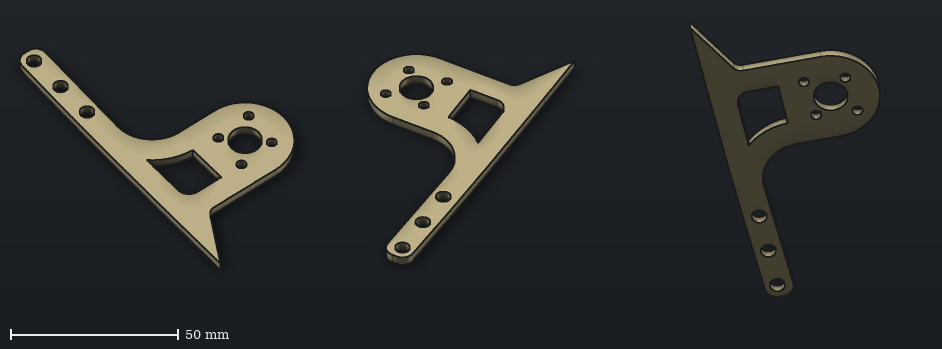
import cadquery as cq
import math

length = 100.8
height = 50.5
thickness = 3.1

head_radius = 14.7
head_x = 67.6
head_y = height - head_radius
left_wall_x = head_x - head_radius
right_wall_x = head_x + head_radius
bore_diameter = 10.1
screw_diameter = 3.0
screw_circles = ((19.0, 135.0), (16.0, 45.0))

arm_end_top = 10.7
arm_root_top = 9.0
arm_end_bottom = 1.9
arm_corner_radius = 3.6
arm_blend_radius = 12.8
arm_hole_diameter = 4.4
arm_hole_x = 4.2
arm_hole_y = 5.7
arm_hole_spacing = 12.7
arm_hole_count = 3

belly_mid = (36.3, 0.7)
belly_end = (69.5, 0.2)
tail_bend = (82.0, 0.1)

tail_top = 10.4
tail_blend_radius = 3.0

window_top = 21.2
window_bottom = 8.1
window_right = 74.5
window_corner_radius = 4.0
blend_web = 8.1


def arm_blend_center():
    """Center of the arc tangent to the arm's upper edge and the left wall."""
    slope = (arm_root_top - arm_end_top) / left_wall_x
    x = left_wall_x - arm_blend_radius
    y = arm_end_top + slope * x + arm_blend_radius * math.hypot(1, slope)
    return x, y


def fillet_corner(body, x, y, radius):
    """Round the upright edge nearest to the given corner."""
    corner = cq.selectors.NearestToPointSelector((x, y, thickness / 2))
    return body.edges("|Z").edges(corner).fillet(radius)


def make_plate():
    plate = (
        cq.Workplane("XY")
        .moveTo(0, arm_end_bottom)
        .threePointArc(belly_mid, belly_end)
        .lineTo(*tail_bend)
        .lineTo(length, 0)
        .lineTo(right_wall_x, tail_top)
        .lineTo(right_wall_x, head_y)
        .threePointArc((head_x, height), (left_wall_x, head_y))
        .lineTo(left_wall_x, arm_root_top)
        .lineTo(0, arm_end_top)
        .close()
        .extrude(thickness)
    )
    plate = fillet_corner(plate, left_wall_x, arm_root_top, arm_blend_radius)
    plate = fillet_corner(plate, right_wall_x, tail_top, tail_blend_radius)
    plate = fillet_corner(plate, 0, arm_end_top, arm_corner_radius)
    return fillet_corner(plate, 0, arm_end_bottom, arm_corner_radius)


def make_window():
    center_x, center_y = arm_blend_center()
    radius = arm_blend_radius + blend_web

    def curved_side(y):
        return center_x + math.sqrt(radius**2 - (y - center_y) ** 2), y

    window_mid = (window_top + window_bottom) / 2
    window = (
        cq.Workplane("XY")
        .moveTo(*curved_side(window_bottom))
        .lineTo(window_right, window_bottom)
        .lineTo(window_right, window_top)
        .lineTo(*curved_side(window_top))
        .threePointArc(curved_side(window_mid), curved_side(window_bottom))
        .close()
        .extrude(thickness)
    )
    return fillet_corner(window, window_right, window_bottom, window_corner_radius)


def make_holes(points, diameter):
    return cq.Workplane("XY").pushPoints(points).circle(diameter / 2).extrude(thickness)


result = make_plate().cut(make_window())

result = result.cut(make_holes([(head_x, head_y)], bore_diameter))
for circle_diameter, pair_angle in screw_circles:
    offset_x = circle_diameter / 2 * math.cos(math.radians(pair_angle))
    offset_y = circle_diameter / 2 * math.sin(math.radians(pair_angle))
    screw_points = [(head_x + side * offset_x, head_y + side * offset_y) for side in (-1, 1)]
    result = result.cut(make_holes(screw_points, screw_diameter))

arm_points = [(arm_hole_x + i * arm_hole_spacing, arm_hole_y) for i in range(arm_hole_count)]
result = result.cut(make_holes(arm_points, arm_hole_diameter))